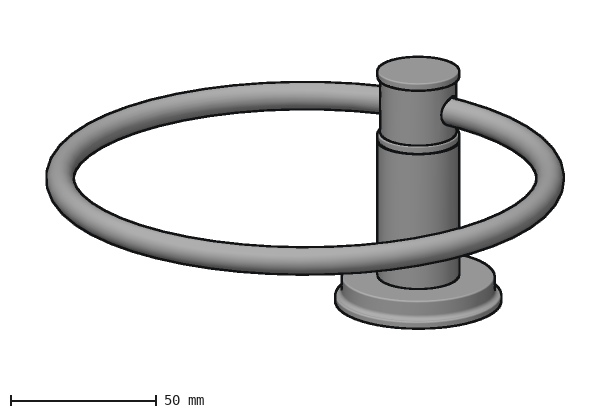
import cadquery as cq

total_height = 84.07

base_radius = 28.575
rim_thickness = 2.45
rim_round = 0.6
flange_radius = 26.3
flange_top = 9.2
flange_edge_round = 0.6
cove_radius = base_radius - rim_round - flange_radius

post_radius = 14.1
collar_bottom = 58.4
collar_top = 61.1
neck_radius = 13.1
cap_thickness = 2.7
disc_edge_round = 0.5
foot_round = 0.4

tube_diameter = 9.525
ring_outer_diameter = 177.8
ring_drop = 12.7
ring_hole_radius = 5.1

tube_radius = tube_diameter / 2
ring_radius = ring_outer_diameter / 2 - tube_radius
ring_height = total_height - ring_drop


def rod(radius, bottom, top):
    """Upright cylinder on the post axis."""
    return cq.Workplane("XY").workplane(offset=bottom).circle(radius).extrude(top - bottom)


def make_base():
    """Turned base plate: rounded rim, concave cove and a flange with a rounded top edge."""
    rim_shoulder = base_radius - rim_round
    profile = (
        cq.Workplane("XZ")
        .lineTo(base_radius, 0)
        .lineTo(base_radius, rim_thickness - rim_round)
        .radiusArc((rim_shoulder, rim_thickness), -rim_round)
        .radiusArc((flange_radius, rim_thickness + cove_radius), cove_radius)
        .lineTo(flange_radius, flange_top)
        .lineTo(0, flange_top)
        .close()
    )
    return profile.revolve(360, (0, 0, 0), (0, 1, 0)).faces(">Z").edges().fillet(flange_edge_round)


def make_post():
    """Thick post whose foot, standing on the flange, has a rounded edge."""
    return rod(post_radius, flange_top, collar_bottom).faces("<Z").edges().fillet(foot_round)


def make_neck():
    """Slimmer neck with a rounded foot, bored crosswise to take the ring."""
    neck = rod(neck_radius, collar_top, total_height - cap_thickness).faces("<Z").edges().fillet(foot_round)
    bore = cq.Workplane("YZ").center(0, ring_height).circle(ring_hole_radius).extrude(neck_radius, both=True)
    return neck.cut(bore)


def rounded_disc(bottom, top):
    """Disc as wide as the post with both rims rounded."""
    return rod(post_radius, bottom, top).faces("|Z").edges().fillet(disc_edge_round)


def make_ring():
    """Level ring of round tube whose centreline crosses the post axis."""
    return (
        cq.Workplane("XZ", origin=(0, -ring_radius, ring_height))
        .center(ring_radius, 0)
        .circle(tube_radius)
        .revolve(360, (-ring_radius, 0, 0), (-ring_radius, 1, 0))
    )


collar = rounded_disc(collar_bottom, collar_top)
cap = rounded_disc(total_height - cap_thickness, total_height)

result = make_base()
for piece in (make_post(), collar, make_neck(), cap, make_ring()):
    result = result.union(piece)